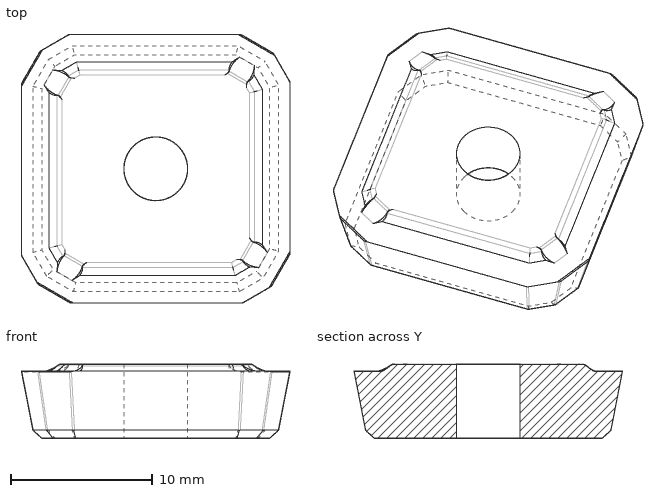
import math

import cadquery as cq


WIDTH = 19.05
HALF_WIDTH = WIDTH / 2
RIM_HEIGHT = 4.76
TOTAL_HEIGHT = 5.26
CLEARANCE_ANGLE = 11.0
CORNER_TURN = 30.0
EDGE_ROUNDING = 0.3
BOTTOM_CHAMFER_HEIGHT = 0.58
BOTTOM_CHAMFER_WIDTH = 0.64
HOLE_DIAMETER = 4.5

LAND_FACET_SETBACK = 3.47
PLAIN_FACET_SETBACK = 3.38

LAND_WIDTH = 0.11
LAND_DROP = 0.05

WALL_FOOT_INSET = 1.96
WALL_TOP_INSET = 2.88
SHOULDER_WIDTH = 0.36
SHOULDER_DROP = 0.14

NUB_FOOT_INSET = 1.45
NUB_SHOULDER_WIDTH = 0.19
NUB_SHOULDER_DROP = 0.06
NUB_WIDTH = 1.22
NUB_CONVERGENCE = 27.0
NUB_DRAFT = 45.0

OVERLAP = 0.5
REACH = 2 * WIDTH

QUARTER_TURNS = (0, 90, 180, 270)


def facet_distance(setback):
    """Distance from the axis to a facet that leaves a side at the given setback."""
    turn = math.radians(CORNER_TURN)
    return (HALF_WIDTH - setback) * math.sin(turn) + HALF_WIDTH * math.cos(turn)


LAND_FACET_DISTANCE = facet_distance(LAND_FACET_SETBACK)
PLAIN_FACET_DISTANCE = facet_distance(PLAIN_FACET_SETBACK)

QUARTER_LINES = (
    (-90 - 2 * CORNER_TURN, PLAIN_FACET_DISTANCE),
    (-90 - CORNER_TURN, LAND_FACET_DISTANCE),
    (-90, HALF_WIDTH),
)
OUTLINE_LINES = [(angle + turn, distance) for turn in QUARTER_TURNS for angle, distance in QUARTER_LINES]
LAND_FACET_ANGLE = -90 - CORNER_TURN


def line_crossing(first, second):
    """Point where two lines given by normal angle and distance meet."""
    (first_angle, first_distance), (second_angle, second_distance) = first, second
    a = math.radians(first_angle)
    b = math.radians(second_angle)
    scale = math.sin(b - a)
    x = (first_distance * math.sin(b) - second_distance * math.sin(a)) / scale
    y = (second_distance * math.cos(a) - first_distance * math.cos(b)) / scale
    return x, y


def facet_centre_offset():
    """Sideways distance from the axis to the middle of a land facet, positive counterclockwise."""
    along_angle = math.radians(LAND_FACET_ANGLE + 90)
    ends = [line_crossing(QUARTER_LINES[1], neighbour) for neighbour in (QUARTER_LINES[0], QUARTER_LINES[2])]
    return sum(x * math.cos(along_angle) + y * math.sin(along_angle) for x, y in ends) / len(ends)


LAND_FACET_CENTRE = facet_centre_offset()


def outline_corners():
    """Corners of the twelve-sided rim, in order."""
    following = OUTLINE_LINES[1:] + OUTLINE_LINES[:1]
    return [line_crossing(line, neighbour) for line, neighbour in zip(OUTLINE_LINES, following)]


def along_facet(profile, angle, length):
    """Prism from a profile in (outward, up), its outward axis turned to an angle about Z."""
    prism = profile.extrude(length / 2, both=True)
    return prism.rotate((0, 0, 0), (0, 0, 1), angle)


def make_body():
    """Flared body up to the rim, with lightly rounded upright edges."""
    body = (
        cq.Workplane("XY")
        .workplane(offset=RIM_HEIGHT)
        .polyline(outline_corners())
        .close()
        .extrude(-RIM_HEIGHT, taper=CLEARANCE_ANGLE)
    )
    return body.edges("not #Z").fillet(EDGE_ROUNDING)


def bottom_chamfer_tool(angle, distance):
    """Wedge that bevels the bottom edge below one outline line."""
    slope = BOTTOM_CHAMFER_WIDTH / BOTTOM_CHAMFER_HEIGHT
    bevel_top = distance - (RIM_HEIGHT - BOTTOM_CHAMFER_HEIGHT) * math.tan(math.radians(CLEARANCE_ANGLE))
    profile = (
        cq.Workplane("XZ")
        .moveTo(bevel_top - BOTTOM_CHAMFER_WIDTH, 0)
        .lineTo(bevel_top + OVERLAP * slope, BOTTOM_CHAMFER_HEIGHT + OVERLAP)
        .lineTo(bevel_top + OVERLAP * slope, 0)
        .close()
    )
    return along_facet(profile, angle, REACH)


def land_tool(angle):
    """Wedge that slopes the top edge of a land facet."""
    slope = LAND_DROP / LAND_WIDTH
    profile = (
        cq.Workplane("XZ")
        .moveTo(LAND_FACET_DISTANCE - LAND_WIDTH, RIM_HEIGHT)
        .lineTo(LAND_FACET_DISTANCE + OVERLAP, RIM_HEIGHT - LAND_DROP - OVERLAP * slope)
        .lineTo(LAND_FACET_DISTANCE + OVERLAP, RIM_HEIGHT)
        .close()
    )
    return along_facet(profile, angle, REACH)


def wall_prism(angle, distance):
    """Everything inside one wall: a concave slope that runs into a rounded shoulder."""
    foot = distance - WALL_FOOT_INSET
    top = distance - WALL_TOP_INSET
    shoulder = top + SHOULDER_WIDTH
    shoulder_height = TOTAL_HEIGHT - SHOULDER_DROP
    profile = (
        cq.Workplane("XZ")
        .moveTo(-WIDTH, TOTAL_HEIGHT)
        .lineTo(top, TOTAL_HEIGHT)
        .tangentArcPoint((shoulder, shoulder_height), relative=False)
        .tangentArcPoint((foot, RIM_HEIGHT), relative=False)
        .lineTo(foot, RIM_HEIGHT - OVERLAP)
        .lineTo(-WIDTH, RIM_HEIGHT - OVERLAP)
        .close()
    )
    return along_facet(profile, angle, REACH)


def make_plateau():
    """Raised plateau bounded by a wall inside each line of the rim outline."""
    plateau = wall_prism(*OUTLINE_LINES[0])
    for angle, distance in OUTLINE_LINES[1:]:
        plateau = plateau.intersect(wall_prism(angle, distance))
    return plateau


def nub_flank():
    """Everything to the right of the drafted plane that bounds a nub on its left."""
    lean = OVERLAP * math.tan(math.radians(NUB_DRAFT))
    return (
        cq.Workplane("YZ")
        .moveTo(lean, RIM_HEIGHT - OVERLAP)
        .lineTo(-lean, RIM_HEIGHT + OVERLAP)
        .lineTo(-WIDTH, RIM_HEIGHT + OVERLAP)
        .lineTo(-WIDTH, RIM_HEIGHT - OVERLAP)
        .close()
        .extrude(WIDTH, both=True)
        .rotate((0, 0, 0), (0, 0, 1), -NUB_CONVERGENCE)
        .translate((LAND_FACET_DISTANCE - NUB_FOOT_INSET, NUB_WIDTH / 2, 0))
    )


def nub_wedge(profile):
    """Part of a profile prism between the two flanks, moved onto the first land facet."""
    flank = nub_flank()
    wedge = profile.extrude(NUB_WIDTH, both=True).intersect(flank).intersect(flank.mirror("XZ"))
    return wedge.translate((0, LAND_FACET_CENTRE, 0)).rotate((0, 0, 0), (0, 0, 1), LAND_FACET_ANGLE)


def make_nub_clearance():
    """Wedge of the plateau's edge that the nub takes the place of."""
    top = LAND_FACET_DISTANCE - WALL_TOP_INSET
    profile = (
        cq.Workplane("XZ")
        .moveTo(top, RIM_HEIGHT)
        .lineTo(LAND_FACET_DISTANCE, RIM_HEIGHT)
        .lineTo(LAND_FACET_DISTANCE, TOTAL_HEIGHT)
        .lineTo(top, TOTAL_HEIGHT)
        .close()
    )
    return nub_wedge(profile)


def make_nub():
    """Concave ramp from the rim up to a small rounded shoulder at the plateau's edge."""
    top = LAND_FACET_DISTANCE - WALL_TOP_INSET
    profile = (
        cq.Workplane("XZ")
        .moveTo(top - OVERLAP, TOTAL_HEIGHT)
        .lineTo(top, TOTAL_HEIGHT)
        .tangentArcPoint((top + NUB_SHOULDER_WIDTH, TOTAL_HEIGHT - NUB_SHOULDER_DROP), relative=False)
        .tangentArcPoint((LAND_FACET_DISTANCE - NUB_FOOT_INSET, RIM_HEIGHT), relative=False)
        .lineTo(LAND_FACET_DISTANCE - NUB_FOOT_INSET, RIM_HEIGHT - OVERLAP)
        .lineTo(top - OVERLAP, RIM_HEIGHT - OVERLAP)
        .close()
    )
    return nub_wedge(profile)


def make_insert():
    """Body with its bevels, lands, plateau, nubs and central through hole."""
    insert = make_body()
    for angle, distance in OUTLINE_LINES:
        insert = insert.cut(bottom_chamfer_tool(angle, distance))
    for turn in QUARTER_TURNS:
        insert = insert.cut(land_tool(LAND_FACET_ANGLE + turn))
    insert = insert.union(make_plateau())
    clearance = make_nub_clearance()
    nub = make_nub()
    for turn in QUARTER_TURNS:
        insert = insert.cut(clearance.rotate((0, 0, 0), (0, 0, 1), turn))
        insert = insert.union(nub.rotate((0, 0, 0), (0, 0, 1), turn))
    hole = cq.Workplane("XY").circle(HOLE_DIAMETER / 2).extrude(TOTAL_HEIGHT)
    return insert.cut(hole)


result = make_insert()